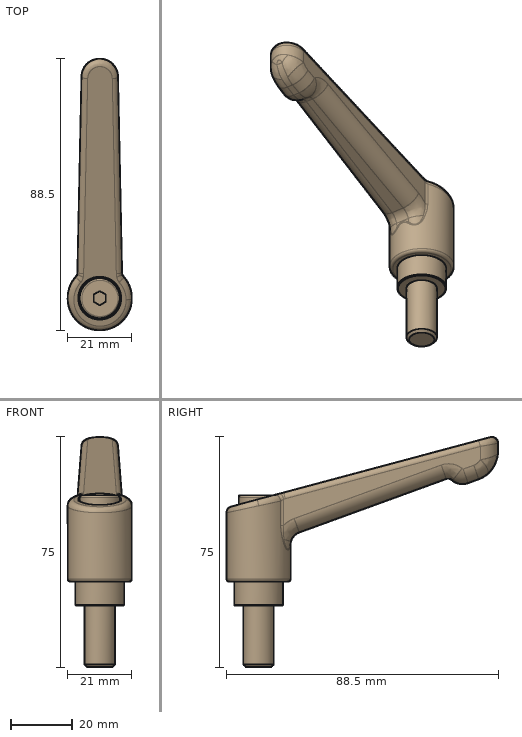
import cadquery as cq
import math

stud_length = 20.0
collar_height = 7.8
overall_top = 55.0
blank_top = 2 * overall_top
screw_top = 36.0

hub_radius = 10.5
hub_bottom_fillet = 1.0
bore_radius = 5.0
counterbore_radius = 7.0
screw_seat = 28.0

tip_y = 78.0
tip_radius = 6.0
root_half_width = 7.5
top_slope = math.radians(15)
under_slope = math.radians(20)
under_axis_height = 19.0
top_fillet = 2.0
under_fillet = 5.0
root_underside_radius = 4.0
root_arc_end_slope = math.radians(76)
side_junction_fillet = 1.5

hub_entry_y = 8.5

knob_drop = 3.7
knob_convex_radius = 5.1
knob_hollow_radius = 2.0
knob_hollow_y = 61.0
knob_nose_start_y = 71.6
knob_nose_radius = 9.5
knob_nose_end_slope = math.radians(70)

collar_radius = 8.0
collar_chamfer = 0.3
stud_radius = 5.0
stud_chamfer = 0.9
screw_head_radius = 6.5
screw_head_fillet = 0.6
screw_shank_radius = 3.0
screw_shank_length = 12.0
socket_across_flats = 4.0
socket_depth = 3.0

tip_fillet_center_y = tip_y - top_fillet
top_axis_height = (overall_top - top_fillet + top_fillet / math.cos(top_slope)
                   - tip_fillet_center_y * math.tan(top_slope))


def under_height(y):
    """Height of the straight underside of the arm."""
    return under_axis_height + y * math.tan(under_slope)


def along(point, angle, distance):
    """Point at a distance from another one, in the direction of an angle."""
    return (point[0] + distance * math.cos(angle), point[1] + distance * math.sin(angle))


def arc_points(center, radius, start_angle, end_angle):
    """Middle and end point of an arc."""
    return (along(center, (start_angle + end_angle) / 2, radius), along(center, end_angle, radius))


def arm_side_profile():
    """Side shape of the arm in the YZ plane, with the finger knob, run into the hub."""
    quarter = math.pi / 2
    down = under_slope - quarter
    up = under_slope + quarter

    root_y = hub_radius + root_underside_radius
    root_center = (root_y, under_height(root_y) - root_underside_radius / math.cos(under_slope))
    root_start = along(root_center, root_arc_end_slope + quarter, root_underside_radius)
    root_mid, root_end = arc_points(root_center, root_underside_radius, root_arc_end_slope + quarter, up)
    hub_entry = (hub_entry_y, root_start[1] - (root_start[0] - hub_entry_y) * math.tan(root_arc_end_slope))

    hollow_start = (knob_hollow_y, under_height(knob_hollow_y))
    hollow_center = along(hollow_start, down, knob_hollow_radius)
    radius_sum = knob_hollow_radius + knob_convex_radius
    swing = math.acos((radius_sum - knob_drop) / radius_sum)
    hollow_mid, hollow_end = arc_points(hollow_center, knob_hollow_radius, up, up - swing)
    bulge_center = along(hollow_center, up - swing, radius_sum)
    bulge_mid, bulge_end = arc_points(bulge_center, knob_convex_radius, down - swing, down)

    nose_start_distance = (knob_nose_start_y - bulge_end[0]) / math.cos(under_slope)
    nose_start = along(bulge_end, under_slope, nose_start_distance)
    nose_center = along(nose_start, up, knob_nose_radius)
    nose_mid, nose_end = arc_points(nose_center, knob_nose_radius, down, knob_nose_end_slope - quarter)
    beyond = along(nose_end, knob_nose_end_slope, 2 * tip_radius)

    return (
        cq.Workplane("YZ").moveTo(0, hub_entry[1]).lineTo(*hub_entry).lineTo(*root_start)
        .threePointArc(root_mid, root_end).lineTo(*hollow_start)
        .threePointArc(hollow_mid, hollow_end).threePointArc(bulge_mid, bulge_end)
        .lineTo(*nose_start).threePointArc(nose_mid, nose_end).lineTo(*beyond)
        .lineTo(beyond[0], blank_top).lineTo(0, blank_top).close()
        .extrude(2 * hub_radius, both=True)
    )


def arm_plan():
    """Outline of the arm from above: tapered sides, tangent to the round tip."""
    tip_center = (0, tip_y - tip_radius)
    root_distance = math.hypot(root_half_width, tip_center[1])
    taper = math.acos(tip_radius / root_distance) - math.atan2(tip_center[1], root_half_width)
    right_side = along(tip_center, taper, tip_radius)
    left_side = along(tip_center, math.pi - taper, tip_radius)
    return (
        cq.Workplane("XY").moveTo(-root_half_width, 0).lineTo(*left_side)
        .threePointArc((0, tip_y), right_side).lineTo(root_half_width, 0).close()
        .extrude(blank_top)
    )


def below_top_plane():
    """Region under the sloping top of the handle."""
    reach_y = tip_y + tip_radius
    slope = math.tan(top_slope)
    return (
        cq.Workplane("YZ").moveTo(-reach_y, 0).lineTo(reach_y, 0)
        .lineTo(reach_y, top_axis_height + reach_y * slope)
        .lineTo(-reach_y, top_axis_height - reach_y * slope).close()
        .extrude(2 * hub_radius, both=True)
    )


def make_arm():
    """Tapered arm with its lower edges rounded; its top is still uncut."""
    arm = arm_side_profile().intersect(arm_plan())
    lower_edges = cq.selectors.BoxSelector(
        (-hub_radius, hub_entry_y, 0), (hub_radius, tip_y + tip_radius, overall_top))
    return arm.edges(lower_edges).edges("not |X").fillet(under_fillet)


def make_handle():
    """Hub and arm in one piece, with the stepped bore for the insert and the screw."""
    hub = (
        cq.Workplane("XY").workplane(offset=collar_height).circle(hub_radius)
        .extrude(blank_top - collar_height)
        .faces("<Z").edges().fillet(hub_bottom_fillet)
    )
    handle = hub.union(make_arm())
    junction_y = math.sqrt(hub_radius ** 2 - root_half_width ** 2)
    junction = cq.selectors.BoxSelector(
        (-hub_radius, junction_y - side_junction_fillet, collar_height),
        (hub_radius, junction_y + side_junction_fillet, blank_top))
    handle = handle.edges("|Z").edges(junction).fillet(side_junction_fillet)
    handle = handle.intersect(below_top_plane())
    top_normal = cq.Vector(0, -math.sin(top_slope), math.cos(top_slope))
    handle = handle.faces(cq.selectors.ParallelDirSelector(top_normal)).edges().fillet(top_fillet)
    bore = cq.Workplane("XY").circle(bore_radius).extrude(overall_top)
    counterbore = (
        cq.Workplane("XY").workplane(offset=screw_seat).circle(counterbore_radius).extrude(overall_top)
    )
    return handle.cut(bore).cut(counterbore)


def screw_shank():
    """Shank below the screw seat; it also cuts the matching hole in the insert."""
    return (
        cq.Workplane("XY").workplane(offset=screw_seat).circle(screw_shank_radius)
        .extrude(-screw_shank_length)
    )


def make_insert():
    """Collar and stud below the hub, with a sleeve that fills the bore up to the screw seat."""
    collar = (
        cq.Workplane("XY").circle(collar_radius).extrude(collar_height)
        .faces("<Z").edges().chamfer(collar_chamfer)
    )
    stud = (
        cq.Workplane("XY").circle(stud_radius).extrude(-stud_length)
        .faces("<Z").edges().chamfer(stud_chamfer)
    )
    sleeve = cq.Workplane("XY").circle(bore_radius).extrude(screw_seat)
    return collar.union(stud).union(sleeve).cut(screw_shank())


def make_screw():
    """Retaining screw with a round head and a hexagon socket."""
    head = (
        cq.Workplane("XY").workplane(offset=screw_seat).circle(screw_head_radius)
        .extrude(screw_top - screw_seat)
        .faces(">Z").edges().fillet(screw_head_fillet)
    )
    across_corners = socket_across_flats / math.cos(math.pi / 6)
    socket = (
        cq.Workplane("XY").workplane(offset=screw_top).transformed(rotate=(0, 0, 90))
        .polygon(6, across_corners).extrude(-socket_depth)
    )
    return head.union(screw_shank()).cut(socket)


handle = make_handle()
insert = make_insert()
screw = make_screw()

result = cq.Compound.makeCompound([handle.solids().val(), insert.solids().val(), screw.solids().val()])